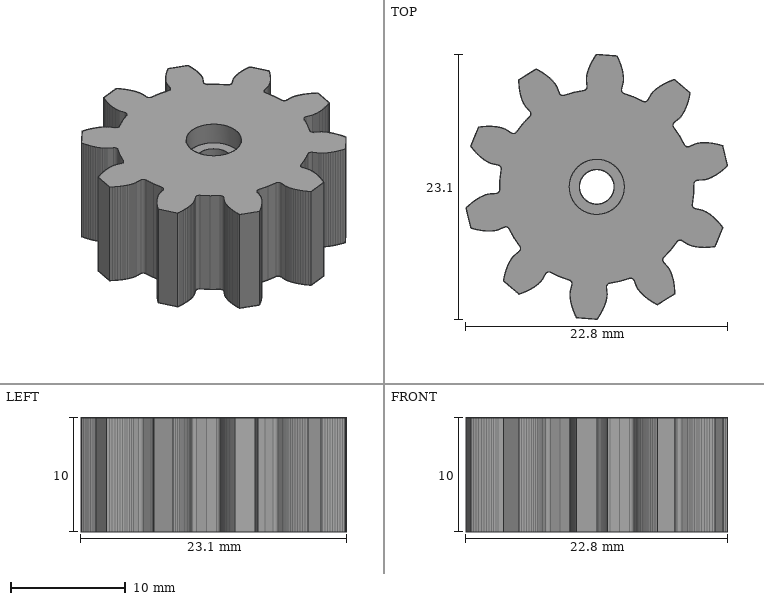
import cadquery as cq
import math

tooth_count = 10
gear_height = 10.0
pitch_radius = 10.0
tip_radius = 11.56
root_radius = 8.5
root_fillet = 0.32
pressure_angle = math.radians(20)
first_tooth_angle = math.radians(13.65)
base_half_angle = math.radians(9.95)
flank_facets = 11

bore_diameter = 3.0
counterbore_diameter = 4.8
counterbore_depth = 2.0

tooth_pitch_angle = 2 * math.pi / tooth_count
base_radius = pitch_radius * math.cos(pressure_angle)

fillet_center_radius = root_radius + root_fillet
fillet_half_angle = base_half_angle + math.asin(root_fillet / fillet_center_radius)
fillet_top_radius = math.sqrt(fillet_center_radius**2 - root_fillet**2)
fillet_middle_direction = (fillet_half_angle + base_half_angle) / 2 - 3 * math.pi / 4


def polar(radius, angle):
    return (radius * math.cos(angle), radius * math.sin(angle))


def fillet_points(tooth_angle, side):
    """Root end, middle and flank end of a root fillet; side is -1 or 1."""
    root_end = polar(root_radius, tooth_angle + side * fillet_half_angle)
    flank_end = polar(fillet_top_radius, tooth_angle + side * base_half_angle)
    center = polar(fillet_center_radius, tooth_angle + side * fillet_half_angle)
    offset = polar(root_fillet, tooth_angle + side * fillet_middle_direction)
    middle = (center[0] + offset[0], center[1] + offset[1])
    return root_end, middle, flank_end


def involute_points(tooth_angle, side):
    """Facet corners from the base circle to the tip, evenly spaced in radius."""
    points = []
    for step in range(flank_facets + 1):
        radius = base_radius + (tip_radius - base_radius) * step / flank_facets
        roll = math.sqrt((radius / base_radius) ** 2 - 1)
        half_angle = base_half_angle - (roll - math.atan(roll))
        points.append(polar(radius, tooth_angle + side * half_angle))
    return points


def add_tooth(outline, tooth_angle):
    """Continue the outline from the middle of one gap, over a tooth, to the middle of the next."""
    root_end, middle, flank_end = fillet_points(tooth_angle, -1)
    outline = outline.lineTo(*root_end).threePointArc(middle, flank_end)
    rising_flank = involute_points(tooth_angle, -1)
    falling_flank = reversed(involute_points(tooth_angle, 1))
    for point in [*rising_flank, *falling_flank]:
        outline = outline.lineTo(*point)
    root_end, middle, flank_end = fillet_points(tooth_angle, 1)
    outline = outline.lineTo(*flank_end).threePointArc(middle, root_end)
    return outline.lineTo(*polar(root_radius, tooth_angle + tooth_pitch_angle / 2))


def make_gear_blank():
    first_gap_middle = polar(root_radius, first_tooth_angle - tooth_pitch_angle / 2)
    outline = cq.Workplane("XY").moveTo(*first_gap_middle)
    for tooth in range(tooth_count):
        outline = add_tooth(outline, first_tooth_angle + tooth * tooth_pitch_angle)
    return outline.close().extrude(gear_height)


def cut_bore(gear):
    """Through bore with a counterbore sunk from the top face."""
    top_plane = gear.faces(">Z").workplane(origin=(0, 0, 0))
    return top_plane.cboreHole(bore_diameter, counterbore_diameter, counterbore_depth)


result = cut_bore(make_gear_blank())